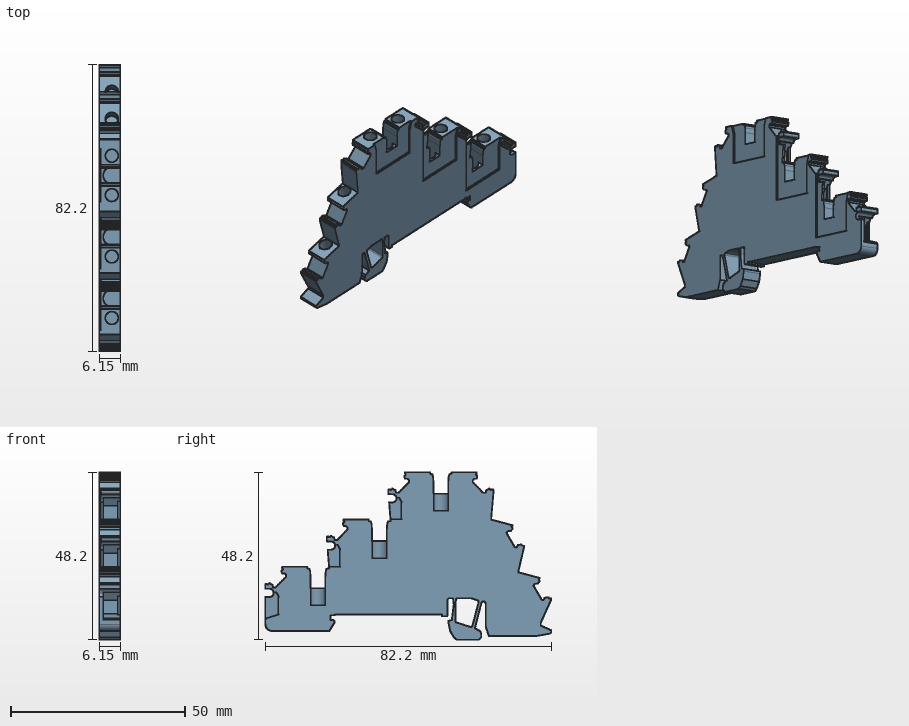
import cadquery as cq
import math


WIDTH = 6.15
LENGTH = 82.15
HEIGHT = 48.15

TIER_COUNT = 3
TIER_RUN = 17.65
TIER_DROP = 13.58
TIER_CENTRE = 31.72
SLOT_HALF = 2.1
SLOT_DEPTH = 6.15
LIP_REACH = LENGTH - TIER_CENTRE - (TIER_COUNT - 1) * TIER_RUN

MOUTH_TOP_HALF = 3.1
MOUTH_LEDGE = 0.45
SLOT_MOUTH = [
    (SLOT_HALF, -SLOT_DEPTH),
    (SLOT_HALF, -2.7),
    (2.2, -1.3),
    (2.45, -0.55),
    (3.0, -MOUTH_LEDGE),
    (MOUTH_TOP_HALF, 0),
]

LIP_FOOT_DROP = 6.3
LIP_EDGE = [
    (10.3, 0),
    (10.35, -0.35),
    (10.05, -0.7),
    (10.5, -1.1),
    (10.5, -1.4),
    (10.25, -1.95),
    (9.6, -1.95),
    (9.2, -2.3),
    (9.2, -2.9),
    (12.15, -5.9),
    (12.85, -5.9),
    (13.0, -5.15),
    (13.45, -5.0),
    (13.9, -4.65),
    (14.35, -5.1),
    (14.75, -4.85),
    (LIP_REACH - 0.1, -4.9),
    (LIP_REACH, -5.2),
    (LIP_REACH, -5.9),
]

GROOVE_BACK = 12.75
GROOVE_TOP_DROP = 6.4
GROOVE_BOTTOM_DROP = 8.65
GROOVE_ROUND = 1.1

STEM_TOP_OFFSET = -2.75
STEM_BOTTOM_OFFSET = -3.2

STEP_COUNT = 2
STEP_RUN = 7.75
STEP_DROP = 15.12
STEP_CORNER = (17.25, 34.55)
STEP_ANGLE = 15
STEP_EDGE = [
    (0, 0),
    (-6.2, -1.65),
    (-5.85, -2.1),
    (-6.2, -2.6),
    (-5.6, -3.3),
    (-4.7, -3.4),
    (-4.4, -3.85),
    (-6.75, -7.9),
    (-7.25, -8.0),
    (-7.6, -7.3),
    (-8.65, -7.15),
    (-8.9, -7.5),
    (STEP_RUN - STEP_CORNER[0], -7.55),
    (STEP_RUN - STEP_CORNER[0] + 0.05, -8.0),
]

RAIL_SEAT = 7.22
HEEL_BOTTOM = 2.5
HEEL_ROUND = 2.0
RAIL_EDGE = [
    (LENGTH, HEEL_BOTTOM),
    (63.75, HEEL_BOTTOM),
    (62.25, 4.95),
    (62.25, 5.35),
    (62.6, 5.75),
    (63.35, 5.75),
    (63.35, 7.0),
    (62.3, 7.0),
    (62.1, RAIL_SEAT),
    (31.4, RAIL_SEAT),
    (31.4, 6.7),
    (30.0, 6.7),
    (29.8, 7.0),
    (29.8, 11.55),
    (29.5, 11.9),
    (28.25, 11.9),
    (28.05, 10.2),
    (28.6, 5.7),
    (29.55, 5.5),
    (29.55, 4.9),
    (29.1, 2.55),
    (28.0, 0.7),
    (27.2, 0),
    (20.8, 0),
    (20.1, 0.75),
    (20.1, 1.8),
    (20.4, 2.5),
    (21.9, 3.3),
    (21.6, 4.6),
    (20.1, 10.4),
]
GAP_ROUND_TOP = (19.5, 11.0)
GAP_LEFT = 18.9
GAP_EDGE = [
    (GAP_LEFT, 10.4),
    (GAP_LEFT, 3.85),
    (17.95, 1.05),
    (4.4, 1.05),
    (0.4, 1.75),
    (0, 2.15),
    (0, 2.75),
    (3.0, 4.1),
    (3.0, 4.9),
]
FOOT_WINDOW = [
    (20.8, 11.2),
    (23.0, 11.9),
    (27.3, 11.9),
    (27.5, 10.3),
    (27.5, 5.1),
    (22.8, 3.6),
]
WINDOW_ROUND = 0.4

PANEL_DEPTH = 0.5
PANEL_DROP = 11.08
PANEL_BEND_DROP = 2.55
TOP_PANEL_HALF = 6.87
LOWER_PANEL_BACK = -5.22
LOWER_PANEL_FRONT = 8.45
PANEL_FLARE = 0.75

ENTRY_WALL = 1.2
ENTRY_SIDE_WALL = 0.75
ENTRY_ROOF_DROP = 7.3
ENTRY_ROOF_ANGLE = 60
ENTRY_ROOF_FLAT = 0.75
ENTRY_SIDE_OPEN = 1.4
ENTRY_DEPTH = 2.1
LAST_FLOOR_BACK = 7.45
LAST_FLOOR_FRONT = 6.25
LAST_FLOOR_EDGE = 5.75
LAST_FLOOR_BEVEL = 0.5

SCREW_X = 3.65
SCREW_DIAMETER = 3.7
SCREW_DEPTH = 4.0
SCREW_OFFSET = 5.65
STEP_SCREW_INSET = 1.85
WELL_RADIUS = 2.45
WELL_DEPTH = PANEL_DROP - SLOT_DEPTH

OVERSHOOT = 1.0
PROFILE_PLANE = cq.Plane(origin=(0, LENGTH / 2, 0), xDir=(0, -1, 0), normal=(-1, 0, 0))


def tier_point(tier, offset, rise):
    """Point at an offset from a tier's slot centre and a height over its top."""
    return (TIER_CENTRE + tier * TIER_RUN + offset, HEIGHT - tier * TIER_DROP + rise)


def tier_points(tier, local_points):
    return [tier_point(tier, offset, rise) for offset, rise in local_points]


def mirrored(local_points):
    return [(-offset, rise) for offset, rise in reversed(local_points)]


def prism(points, x_start, x_end):
    """Polygon in (u, z) extruded between two X positions."""
    flat = cq.Workplane(PROFILE_PLANE).polyline(points).close().extrude(x_start - x_end)
    return flat.translate((x_start, 0, 0))


def step_corner(step):
    return (STEP_CORNER[0] - step * STEP_RUN, STEP_CORNER[1] - step * STEP_DROP)


def lip_underside(tier):
    """Runs from under a tier's lip to the next tier's slot, or down the -Y end."""
    if tier == TIER_COUNT - 1:
        return [tier_point(tier, LIP_REACH, -GROOVE_BOTTOM_DROP)]
    stem_top = TIER_DROP - GROOVE_BOTTOM_DROP
    return tier_points(tier + 1, [(STEM_TOP_OFFSET, stem_top), (STEM_BOTTOM_OFFSET, -MOUTH_LEDGE)])


def make_body():
    """Solid housing with driver slots, steps and rail foot."""
    upper = []
    for step in reversed(range(STEP_COUNT)):
        corner_u, corner_z = step_corner(step)
        upper += [(corner_u + du, corner_z + dz) for du, dz in reversed(STEP_EDGE)]
    upper += tier_points(0, mirrored(LIP_EDGE))
    for tier in range(TIER_COUNT):
        near_mouth = SLOT_MOUTH if tier == 0 else SLOT_MOUTH[:-1]
        upper += tier_points(tier, mirrored(near_mouth))
        upper += tier_points(tier, SLOT_MOUTH)
        upper += tier_points(tier, LIP_EDGE)
        upper += lip_underside(tier)

    outline = cq.Workplane(PROFILE_PLANE).polyline(upper + RAIL_EDGE)
    outline = outline.threePointArc(GAP_ROUND_TOP, GAP_EDGE[0])
    outline = outline.polyline(GAP_EDGE[1:], includeCurrent=True)
    body = outline.close().extrude(-WIDTH)

    heel_corner = cq.selectors.NearestToPointSelector((WIDTH / 2, -LENGTH / 2, HEEL_BOTTOM))
    body = body.edges(heel_corner).fillet(HEEL_ROUND)
    window = prism(FOOT_WINDOW, 0, WIDTH).edges("|X").fillet(WINDOW_ROUND)
    return body.cut(window)


def groove(tier):
    """Groove under a tier's lip, rounded at its inner corners."""
    front = LIP_REACH + OVERSHOOT
    corners = [
        (GROOVE_BACK, -GROOVE_TOP_DROP),
        (front, -LIP_FOOT_DROP),
        (front, -GROOVE_BOTTOM_DROP),
        (GROOVE_BACK, -GROOVE_BOTTOM_DROP),
    ]
    block = prism(tier_points(tier, corners), 0, WIDTH)
    return block.edges("|X and >Y").fillet(GROOVE_ROUND)


def panel(tier):
    """Shallow recess on the -X face; on the lower tiers it also takes in the lip above."""
    if tier == 0:
        back = -TOP_PANEL_HALF
        front = TOP_PANEL_HALF
        upper_edge = [(front + PANEL_FLARE, 0), (back - PANEL_FLARE, 0), (back, -PANEL_BEND_DROP)]
    else:
        back = LOWER_PANEL_BACK
        front = LOWER_PANEL_FRONT
        upper_edge = [(front + PANEL_FLARE, 0), (front + PANEL_FLARE, TIER_DROP), (back, TIER_DROP)]
    lower_edge = [(back, -PANEL_DROP), (front, -PANEL_DROP), (front, -PANEL_BEND_DROP)]
    return prism(tier_points(tier, upper_edge + lower_edge), 0, PANEL_DEPTH)


def entry(tier):
    """Wire entry: roof falling to an upright back, open to -Y and, near the front, to +X."""
    groove_u, roof_z = tier_point(tier, GROOVE_BACK, -ENTRY_ROOF_DROP)
    back_u = groove_u - ENTRY_DEPTH
    side_u = groove_u - ENTRY_SIDE_OPEN
    if tier == TIER_COUNT - 1:
        edge_u = LENGTH - LAST_FLOOR_BEVEL
        front_u = LENGTH
        floor_back = LAST_FLOOR_BACK
        slope = (LAST_FLOOR_FRONT - LAST_FLOOR_BACK) / (edge_u - back_u)
        floor_end = [(LENGTH, LAST_FLOOR_EDGE), (edge_u, LAST_FLOOR_FRONT)]
    else:
        front_u, floor_back = tier_point(tier + 1, STEM_TOP_OFFSET, 0)
        slope = 0
        floor_end = [(front_u, floor_back)]
    floor_side = floor_back + slope * (side_u - back_u)
    front = [(groove_u - ENTRY_ROOF_FLAT, roof_z), (front_u, roof_z)] + floor_end
    roof_slope = math.tan(math.radians(ENTRY_ROOF_ANGLE))
    back_top = roof_z - (ENTRY_DEPTH - ENTRY_ROOF_FLAT) * roof_slope
    side_top = roof_z - (ENTRY_SIDE_OPEN - ENTRY_ROOF_FLAT) * roof_slope
    deep = prism(
        [(back_u, floor_back), (back_u, back_top)] + front,
        ENTRY_WALL,
        WIDTH - ENTRY_SIDE_WALL,
    )
    side = prism(
        [(side_u, floor_side), (side_u, side_top)] + front,
        ENTRY_WALL,
        WIDTH,
    )
    return deep.union(side)


def screw_hole(u, z, tilt):
    """Blind hole from a surface point; a positive tilt leans its bottom towards -Y."""
    lean = math.radians(tilt)
    direction = cq.Vector(0, -math.sin(lean), -math.cos(lean))
    mouth = cq.Vector(SCREW_X, LENGTH / 2 - u, z) - direction * OVERSHOOT
    hole = cq.Solid.makeCylinder(SCREW_DIAMETER / 2, SCREW_DEPTH + OVERSHOOT, mouth, direction)
    return cq.Workplane(obj=hole)


def slot_well(tier):
    """Well in the slot floor, as wide as the slot: rounded towards -X, open through the +X face."""
    centre_u, floor_z = tier_point(tier, 0, -SLOT_DEPTH)
    run_out = WIDTH + OVERSHOOT - SCREW_X
    plan = cq.Workplane("XY", origin=(SCREW_X, LENGTH / 2 - centre_u, floor_z - WELL_DEPTH))
    round_end = plan.circle(WELL_RADIUS).extrude(WELL_DEPTH)
    slot_width = plan.rect(2 * WIDTH, 2 * SLOT_HALF).extrude(WELL_DEPTH)
    open_end = plan.center(run_out / 2, 0).rect(run_out, 2 * SLOT_HALF).extrude(WELL_DEPTH)
    return round_end.intersect(slot_width).union(open_end)


result = make_body()
for tier_index in range(TIER_COUNT):
    result = result.cut(groove(tier_index))
    result = result.cut(panel(tier_index))
    result = result.cut(entry(tier_index))
    result = result.cut(slot_well(tier_index))
    screw_u, screw_z = tier_point(tier_index, SCREW_OFFSET, 0)
    result = result.cut(screw_hole(screw_u, screw_z, 0))

back_screw_u, back_screw_z = tier_point(0, -SCREW_OFFSET, 0)
result = result.cut(screw_hole(back_screw_u, back_screw_z, 0))

for step_index in range(STEP_COUNT):
    corner_u, corner_z = step_corner(step_index)
    hole_z = corner_z - STEP_SCREW_INSET * math.tan(math.radians(STEP_ANGLE))
    result = result.cut(screw_hole(corner_u - STEP_SCREW_INSET, hole_z, STEP_ANGLE))